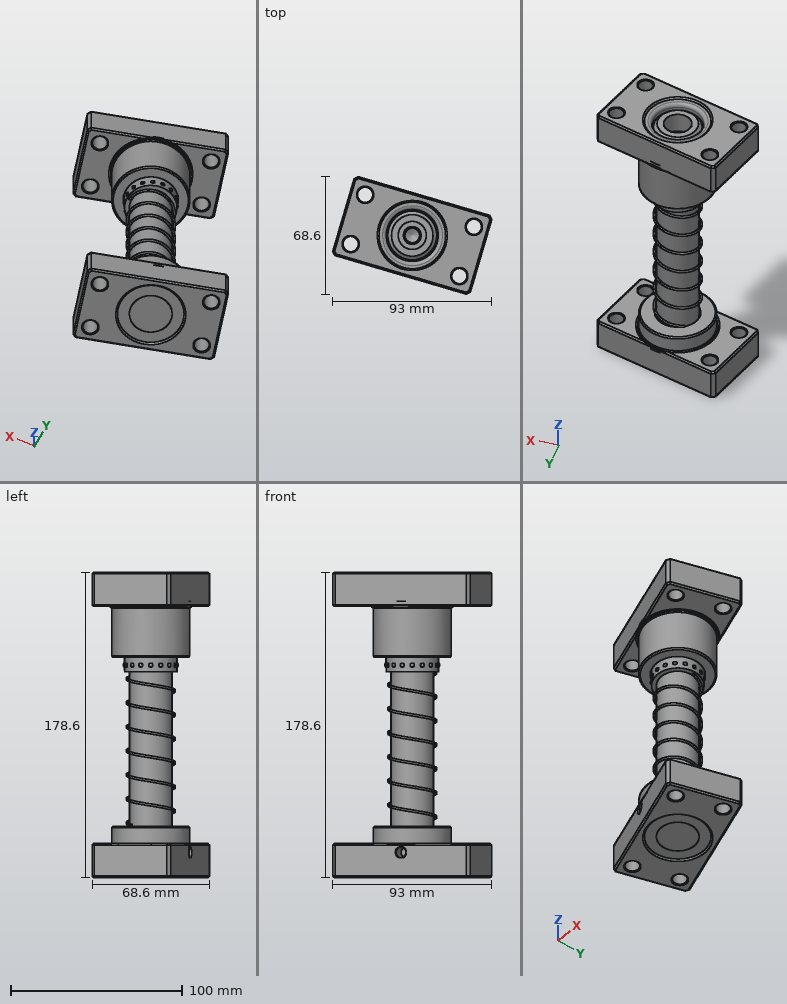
import cadquery as cq
import math

TOTAL_HEIGHT = 178.6
PLATE_TURN = -16.4

PLATE_LENGTH = 84.0
PLATE_WIDTH = 48.0
PLATE_THICKNESS = 20.0
PLATE_CORNER_CHAMFER = 2.0
PLATE_EDGE_CHAMFER = 1.0
SCREW_SPACING_X = 66.3
SCREW_SPACING_Y = 30.0
SCREW_HOLE_RADIUS = 4.5
SCREW_HOLE_CHAMFER = 0.5
NECK_RADIUS = 19.5
SLEEVE_RADIUS = 22.9
SEAT_DEPTH = 10.0
LIP_RADIUS = 23.5
LIP_DEPTH = 3.0
BORE_CHAMFER = 1.0
UPPER_PLATE_Z = TOTAL_HEIGHT - PLATE_THICKNESS

PILLAR_RADIUS = 12.5
PILLAR_TOP_Z = 159.0
PILLAR_HOLE_RADIUS = 4.3
PILLAR_HOLE_DEPTH = 20.0
PILLAR_HOLE_COUNTERSINK = 0.9
PILLAR_HOLE_TIP_ANGLE = 118.0

SLEEVE_CHAMFER = 0.9
NECK_RECESS = 1.0
LIP_TAPER = 0.7
BUSHING_LIP_STANDOUT = 0.4
BUSHING_BOTTOM_Z = 128.8
BUSHING_BORE_RADIUS = 16.0
BUSHING_BORE_TOP_Z = 162.5
BUSHING_VENT_RADIUS = 8.2
GROOVE_OUTER_RADIUS = 15.2
HUB_RADIUS = 14.3
GROOVE_ROUNDING = 2.3
GROOVE_DEPTH = 5.4
HUB_CHAMFER = 2.1
HUB_RECESS = 2.0
COLLAR_TOP_Z = 30.0
COLLAR_RELIEF_RADIUS = 13.4
COLLAR_RELIEF_DEPTH = 5.0
SIDE_HOLE_RADIUS = 3.2
SIDE_HOLE_Z = 14.8

CAGE_RADIUS = 15.4
CAGE_BOTTOM_Z = 120.4
CAGE_TOP_Z = 157.2
BALL_COUNT = 16
BALL_RADIUS = 1.34
BALL_CENTRE_RADIUS = BUSHING_BORE_RADIUS - BALL_RADIUS
BALL_Z = 124.3

WIRE_RADIUS = 0.65
SPRING_RADIUS = 13.8
SPRING_PITCH = 14.04


def cylinder(radius, bottom_z, top_z):
    return cq.Workplane("XY").workplane(offset=bottom_z).circle(radius).extrude(top_z - bottom_z)


def revolved(profile):
    """Turn a closed profile of (radius, Z) points about the Z axis."""
    return profile.close().revolve(360, (0, 0, 0), (0, 1, 0))


def turned(body):
    return body.rotate((0, 0, 0), (0, 0, 1), PLATE_TURN)


def side_hole():
    """Cutter from the long front side of the lower plate up to the Z axis."""
    start = cq.Vector(0, -PLATE_WIDTH, SIDE_HOLE_Z)
    return cq.Workplane(cq.Solid.makeCylinder(SIDE_HOLE_RADIUS, PLATE_WIDTH, start, cq.Vector(0, 1, 0)))


def make_plate():
    """Chamfered plate from Z = 0, with its flange seat in the top face."""
    top = PLATE_THICKNESS
    plate = cq.Workplane("XY").box(PLATE_LENGTH, PLATE_WIDTH, top, centered=(True, True, False))
    plate = plate.edges("|Z").chamfer(PLATE_CORNER_CHAMFER)
    plate = plate.faces("<Z or >Z").edges().chamfer(PLATE_EDGE_CHAMFER)

    screw_holes = revolved(
        cq.Workplane("XZ")
        .moveTo(0, 0)
        .lineTo(SCREW_HOLE_RADIUS + SCREW_HOLE_CHAMFER, 0)
        .lineTo(SCREW_HOLE_RADIUS, SCREW_HOLE_CHAMFER)
        .lineTo(SCREW_HOLE_RADIUS, top - SCREW_HOLE_CHAMFER)
        .lineTo(SCREW_HOLE_RADIUS + SCREW_HOLE_CHAMFER, top)
        .lineTo(0, top)
    ).val()
    for x in (-SCREW_SPACING_X / 2, SCREW_SPACING_X / 2):
        for y in (-SCREW_SPACING_Y / 2, SCREW_SPACING_Y / 2):
            plate = plate.cut(screw_holes.moved(cq.Location(cq.Vector(x, y, 0))))

    bore = revolved(
        cq.Workplane("XZ")
        .moveTo(0, 0)
        .lineTo(NECK_RADIUS + BORE_CHAMFER, 0)
        .lineTo(NECK_RADIUS, BORE_CHAMFER)
        .lineTo(NECK_RADIUS, top - SEAT_DEPTH)
        .lineTo(SLEEVE_RADIUS, top - SEAT_DEPTH)
        .lineTo(SLEEVE_RADIUS, top - LIP_DEPTH)
        .lineTo(LIP_RADIUS, top - LIP_DEPTH)
        .lineTo(LIP_RADIUS, top - BORE_CHAMFER)
        .lineTo(LIP_RADIUS + BORE_CHAMFER, top)
        .lineTo(0, top)
    )
    return plate.cut(bore)


def make_lower_plate():
    return turned(make_plate().cut(side_hole()))


def make_upper_plate():
    """The same plate turned upside down, without the side hole."""
    flipped = make_plate().rotate((0, 0, 0), (1, 0, 0), 180)
    return turned(flipped.translate((0, 0, TOTAL_HEIGHT)))


def make_bushing():
    neck_top = TOTAL_HEIGHT - NECK_RECESS
    seat_z = UPPER_PLATE_Z + SEAT_DEPTH
    lip_z = UPPER_PLATE_Z + LIP_DEPTH
    rim_z = UPPER_PLATE_Z - BUSHING_LIP_STANDOUT
    groove_z = neck_top - GROOVE_DEPTH
    hub_top = neck_top - HUB_RECESS
    rounding_corner = GROOVE_ROUNDING * (1 - math.sqrt(0.5))
    rounding_mid = (GROOVE_OUTER_RADIUS + rounding_corner, neck_top - rounding_corner)
    bushing = revolved(
        cq.Workplane("XZ")
        .moveTo(BUSHING_BORE_RADIUS, BUSHING_BOTTOM_Z)
        .lineTo(SLEEVE_RADIUS - SLEEVE_CHAMFER, BUSHING_BOTTOM_Z)
        .lineTo(SLEEVE_RADIUS, BUSHING_BOTTOM_Z + SLEEVE_CHAMFER)
        .lineTo(SLEEVE_RADIUS, rim_z - LIP_TAPER)
        .lineTo(LIP_RADIUS, rim_z)
        .lineTo(LIP_RADIUS, lip_z)
        .lineTo(SLEEVE_RADIUS, lip_z)
        .lineTo(SLEEVE_RADIUS, seat_z)
        .lineTo(NECK_RADIUS, seat_z)
        .lineTo(NECK_RADIUS, neck_top)
        .lineTo(GROOVE_OUTER_RADIUS + GROOVE_ROUNDING, neck_top)
        .threePointArc(rounding_mid, (GROOVE_OUTER_RADIUS, neck_top - GROOVE_ROUNDING))
        .lineTo(GROOVE_OUTER_RADIUS, groove_z)
        .lineTo(HUB_RADIUS, groove_z)
        .lineTo(HUB_RADIUS, hub_top - HUB_CHAMFER)
        .lineTo(HUB_RADIUS - HUB_CHAMFER, hub_top)
        .lineTo(BUSHING_VENT_RADIUS, hub_top)
        .lineTo(BUSHING_VENT_RADIUS, BUSHING_BORE_TOP_Z)
        .lineTo(BUSHING_BORE_RADIUS, BUSHING_BORE_TOP_Z)
    )
    return turned(bushing)


def make_collar():
    seat_z = PLATE_THICKNESS - SEAT_DEPTH
    lip_z = PLATE_THICKNESS - LIP_DEPTH
    relief_z = COLLAR_TOP_Z - COLLAR_RELIEF_DEPTH
    collar = revolved(
        cq.Workplane("XZ")
        .moveTo(PILLAR_RADIUS, NECK_RECESS)
        .lineTo(NECK_RADIUS, NECK_RECESS)
        .lineTo(NECK_RADIUS, seat_z)
        .lineTo(SLEEVE_RADIUS, seat_z)
        .lineTo(SLEEVE_RADIUS, lip_z)
        .lineTo(LIP_RADIUS, lip_z)
        .lineTo(LIP_RADIUS, PLATE_THICKNESS - LIP_TAPER)
        .lineTo(SLEEVE_RADIUS, PLATE_THICKNESS)
        .lineTo(SLEEVE_RADIUS, COLLAR_TOP_Z - SLEEVE_CHAMFER)
        .lineTo(SLEEVE_RADIUS - SLEEVE_CHAMFER, COLLAR_TOP_Z)
        .lineTo(COLLAR_RELIEF_RADIUS, COLLAR_TOP_Z)
        .lineTo(COLLAR_RELIEF_RADIUS, relief_z)
        .lineTo(PILLAR_RADIUS, relief_z)
    )
    return turned(collar.cut(side_hole()))


def make_pillar():
    hole_bottom = PILLAR_TOP_Z - PILLAR_HOLE_DEPTH
    tip_depth = PILLAR_HOLE_RADIUS / math.tan(math.radians(PILLAR_HOLE_TIP_ANGLE / 2))
    return revolved(
        cq.Workplane("XZ")
        .moveTo(0, NECK_RECESS)
        .lineTo(PILLAR_RADIUS, NECK_RECESS)
        .lineTo(PILLAR_RADIUS, PILLAR_TOP_Z)
        .lineTo(PILLAR_HOLE_RADIUS + PILLAR_HOLE_COUNTERSINK, PILLAR_TOP_Z)
        .lineTo(PILLAR_HOLE_RADIUS, PILLAR_TOP_Z - PILLAR_HOLE_COUNTERSINK)
        .lineTo(PILLAR_HOLE_RADIUS, hole_bottom)
        .lineTo(0, hole_bottom - tip_depth)
    )


def make_ball_cage():
    """Sleeve around the pillar with one ring of balls standing out of it."""
    cage = cylinder(CAGE_RADIUS, CAGE_BOTTOM_Z, CAGE_TOP_Z)
    balls = (
        cq.Workplane("XY")
        .workplane(offset=BALL_Z)
        .polarArray(BALL_CENTRE_RADIUS, -90, 360, BALL_COUNT)
        .sphere(BALL_RADIUS)
    )
    return cage.union(balls).cut(cylinder(PILLAR_RADIUS, CAGE_BOTTOM_Z, CAGE_TOP_Z))


def make_spring():
    """Round wire swept down a left-handed helix that starts on the +X side below the cage."""
    top_z = CAGE_BOTTOM_Z - WIRE_RADIUS
    bottom_z = COLLAR_TOP_Z + WIRE_RADIUS
    height = top_z - bottom_z
    helix = cq.Wire.makeHelix(SPRING_PITCH, height, SPRING_RADIUS, lefthand=True)
    wire = cq.Workplane("XZ").center(SPRING_RADIUS, 0).circle(WIRE_RADIUS)
    spring = wire.sweep(cq.Workplane(helix), isFrenet=True)
    total_turn = 360 * height / SPRING_PITCH
    return spring.rotate((0, 0, 0), (0, 0, 1), total_turn).translate((0, 0, bottom_z))


lower_plate = make_lower_plate()
upper_plate = make_upper_plate()
bushing = make_bushing()
collar = make_collar()
pillar = make_pillar()
ball_cage = make_ball_cage()
spring = make_spring()

result = cq.Compound.makeCompound(
    [
        lower_plate.solids().val(),
        upper_plate.solids().val(),
        bushing.solids().val(),
        collar.solids().val(),
        pillar.solids().val(),
        ball_cage.solids().val(),
        spring.solids().val(),
    ]
)